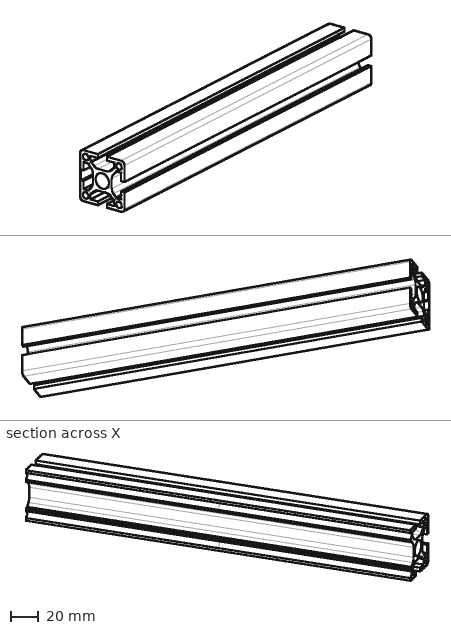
import cadquery as cq
import math

length = 300.0
size = 40.0
half = size / 2
corner_radius = 3.0

slot_opening = 8.2
lip_thickness = 3.0
slot_width = 21.0
chamber_wall_end = 12.45
core_face = 8.5
floor_arc_radius = 5.0
closed_side_wall = 1.0
rib_thickness = 3.54

core_bore_diameter = 12.0
corner_bore_diameter = 5.0
corner_bore_offset = 15.0


def extrude_section(sketch):
    """Extrude an XZ section over the full length, centred on Y = 0."""
    return sketch.extrude(length / 2, both=True)


def make_bar():
    bar = extrude_section(cq.Workplane("XZ").rect(size, size))
    return bar.edges("|Y").fillet(corner_radius)


def make_slot(outer_end):
    """Slot on the +Z side; outer_end is where its opening stops."""
    half_opening = slot_opening / 2
    half_width = slot_width / 2
    lip_inner = half - lip_thickness

    rib_angle = math.radians(45)
    arc_run = floor_arc_radius * math.sin(rib_angle)
    arc_rise = floor_arc_radius * (1 - math.cos(rib_angle))
    mid_run = floor_arc_radius * math.sin(rib_angle / 2)
    mid_rise = floor_arc_radius * (1 - math.cos(rib_angle / 2))
    ledge_end = chamber_wall_end - rib_thickness * math.sin(rib_angle)
    slope_run = chamber_wall_end - core_face - arc_rise
    half_floor = ledge_end - slope_run - arc_run

    profile = (
        cq.Workplane("XZ")
        .moveTo(-half_opening, outer_end)
        .lineTo(half_opening, outer_end)
        .lineTo(half_opening, lip_inner)
        .lineTo(half_width, lip_inner)
        .lineTo(half_width, chamber_wall_end)
        .lineTo(ledge_end, chamber_wall_end)
        .lineTo(half_floor + arc_run, core_face + arc_rise)
        .threePointArc((half_floor + mid_run, core_face + mid_rise), (half_floor, core_face))
        .lineTo(-half_floor, core_face)
        .threePointArc(
            (-half_floor - mid_run, core_face + mid_rise),
            (-half_floor - arc_run, core_face + arc_rise),
        )
        .lineTo(-ledge_end, chamber_wall_end)
        .lineTo(-half_width, chamber_wall_end)
        .lineTo(-half_width, lip_inner)
        .lineTo(-half_opening, lip_inner)
        .close()
    )
    return extrude_section(profile)


def cut_slots(bar):
    closed_angle = 270
    for angle in (0, 90, 180, closed_angle):
        outer_end = half - closed_side_wall if angle == closed_angle else half
        bar = bar.cut(make_slot(outer_end).rotate((0, 0, 0), (0, 1, 0), angle))
    return bar


def cut_bores(bar):
    core_bore = cq.Workplane("XZ").circle(core_bore_diameter / 2)
    corner_bores = (
        cq.Workplane("XZ")
        .rect(2 * corner_bore_offset, 2 * corner_bore_offset, forConstruction=True)
        .vertices()
        .circle(corner_bore_diameter / 2)
    )
    return bar.cut(extrude_section(core_bore)).cut(extrude_section(corner_bores))


result = cut_bores(cut_slots(make_bar()))